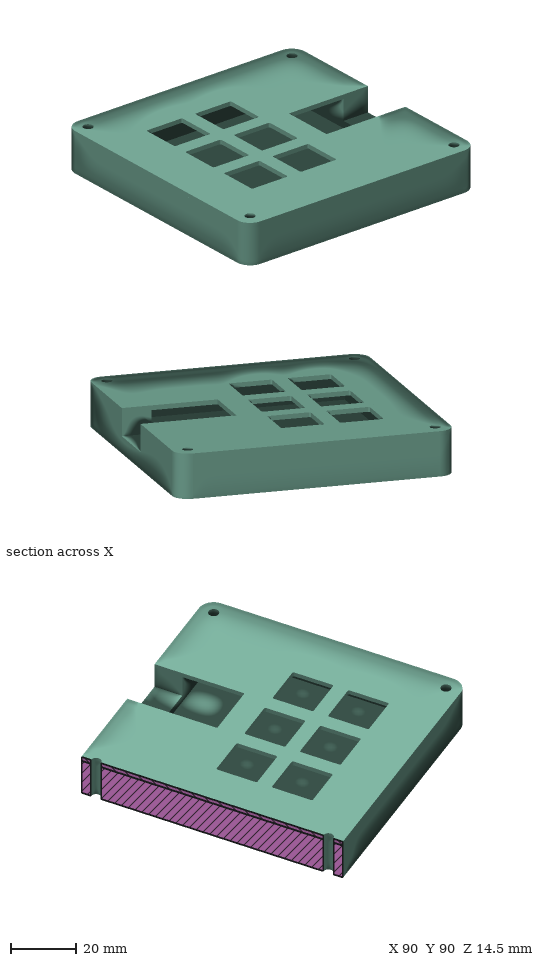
import cadquery as cq

side = 90.0
height = 14.5
corner_radius = 5.0

lid_thickness = 1.5
base_height = height - lid_thickness
floor_thickness = 3.0
wall_thickness = 9.5
cavity_side = side - 2 * wall_thickness

screw_diameter = 3.4
screw_spacing = side - 2 * corner_radius

notch_width = 18.5
notch_centre_x = 0.45
notch_length = 31.0
notch_sill_height = 5.5

key_columns = 3
key_rows = 2
key_pitch = 19.1
key_window_side = 14.0
key_window_corner_radius = 0.5
key_grid_centre_x = -0.5
key_grid_centre_y = -11.2


def rounded_plate(bottom, thickness):
    """Square plate with rounded vertical corners and its underside at the given height."""
    return (
        cq.Workplane("XY", origin=(0, 0, bottom))
        .rect(side, side)
        .extrude(thickness)
        .edges("|Z")
        .fillet(corner_radius)
    )


def screw_holes():
    """Four vertical cylinders that run through the whole case."""
    return (
        cq.Workplane("XY")
        .rect(screw_spacing, screw_spacing, forConstruction=True)
        .vertices()
        .circle(screw_diameter / 2)
        .extrude(height)
    )


def notch(bottom, length):
    """Block that opens the case from the +Y edge inward, from the given height to the top."""
    return (
        cq.Workplane("XY", origin=(notch_centre_x, side / 2 - length / 2, bottom))
        .rect(notch_width, length)
        .extrude(height - bottom)
    )


def key_windows():
    """Grid of rounded square prisms through the lid."""
    return (
        cq.Workplane("XY", origin=(key_grid_centre_x, key_grid_centre_y, base_height))
        .rarray(key_pitch, key_pitch, key_columns, key_rows)
        .rect(key_window_side, key_window_side)
        .extrude(lid_thickness)
        .edges("|Z")
        .fillet(key_window_corner_radius)
    )


def make_base():
    """Open tray with thick walls and a cable notch in the rear wall."""
    cavity = (
        cq.Workplane("XY", origin=(0, 0, floor_thickness))
        .rect(cavity_side, cavity_side)
        .extrude(base_height - floor_thickness)
    )
    tray = rounded_plate(0, base_height).cut(cavity)
    return tray.cut(notch(notch_sill_height, wall_thickness)).cut(screw_holes())


def make_lid():
    """Flat plate with the key windows and the cable notch."""
    plate = rounded_plate(base_height, lid_thickness)
    return plate.cut(notch(base_height, notch_length)).cut(key_windows()).cut(screw_holes())


base = make_base()
lid = make_lid()

result = cq.Compound.makeCompound([base.val(), lid.val()])